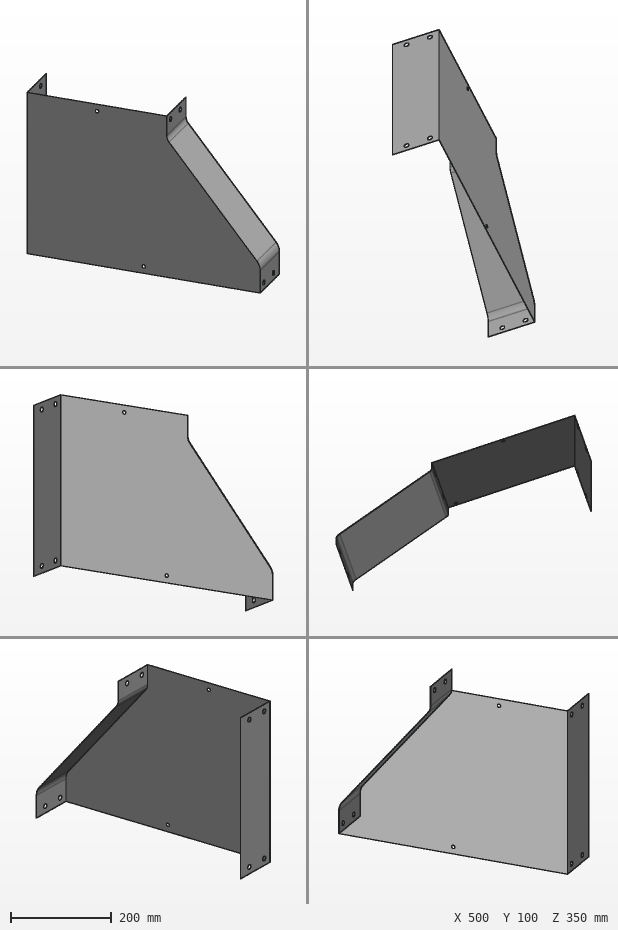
import cadquery as cq

length = 500
depth = 100
height = 350
thickness = 1.0

top_length = 300
slope_top_z = 300
slope_bottom_z = 60
upper_bend_radius = 20
lower_bend_radius = 30

hole_edge_distance = 15
panel_hole_diameter = 7.0
flange_hole_diameter = 10
flange_hole_ys = (20, 70)
hole_zs = (hole_edge_distance, height - hole_edge_distance)


def make_outline_block():
    """Solid block with the outer outline of the cover and rounded slope ends."""
    block = (
        cq.Workplane("XZ")
        .moveTo(0, 0)
        .lineTo(length, 0)
        .lineTo(length, slope_bottom_z)
        .lineTo(top_length, slope_top_z)
        .lineTo(top_length, height)
        .lineTo(0, height)
        .close()
        .extrude(-depth)
    )
    upper_corner = cq.selectors.NearestToPointSelector((top_length, depth / 2, slope_top_z))
    lower_corner = cq.selectors.NearestToPointSelector((length, depth / 2, slope_bottom_z))
    block = block.edges(upper_corner).fillet(upper_bend_radius)
    return block.edges(lower_corner).fillet(lower_bend_radius)


def hollow_out(block):
    """Leave the front panel, the left flange and the bent right flange."""
    return block.faces(">Y or >Z or <Z").shell(-thickness, kind="intersection")


def cut_panel_holes(cover):
    """One hole centred along each of the bottom and top edges of the panel."""
    holes = (
        cq.Workplane("XZ")
        .pushPoints(list(zip((length / 2, top_length / 2), hole_zs)))
        .circle(panel_hole_diameter / 2)
        .extrude(-depth)
    )
    return cover.cut(holes)


def cut_flange_holes(cover):
    """Holes through both flanges, near their top and bottom edges."""
    holes = (
        cq.Workplane("YZ")
        .pushPoints([(y, z) for y in flange_hole_ys for z in hole_zs])
        .circle(flange_hole_diameter / 2)
        .extrude(length)
    )
    return cover.cut(holes)


cover = hollow_out(make_outline_block())
cover = cut_panel_holes(cover)
result = cut_flange_holes(cover)